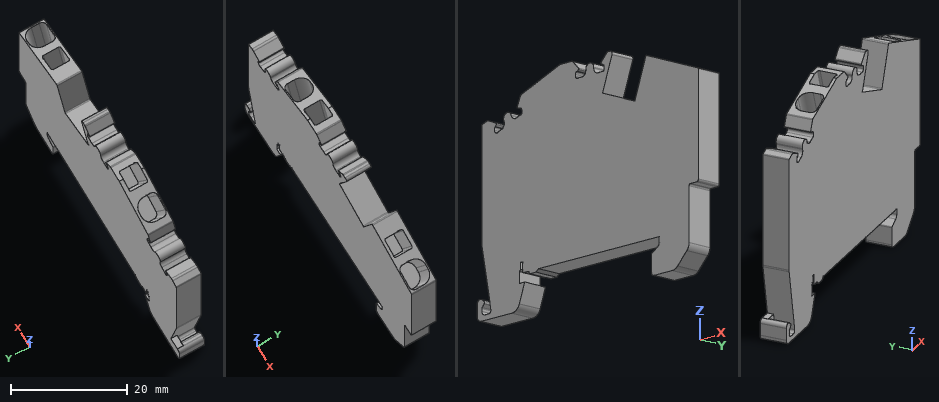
import cadquery as cq
import math

LENGTH = 55.0
THICKNESS = 5.0
HEIGHT = 42.0
BACK_Y = THICKNESS / 2

TILT = math.radians(20)
SLOPE = math.tan(TILT)

EDGE_RADIUS = 0.2
FINE_RADIUS = 0.15

BODY_LEFT = 1.1
BODY_RIGHT = 52.7
TAPER_TOP = 13.7
SHOULDER_BASE = 14.65
RAIL_LEVEL = 6.65
TAPER_BEND = 1.65
SHOULDER_INNER_RADIUS = 0.35
SHOULDER_OUTER_RADIUS = 0.45

SLOT_FLOOR = 1.0
SLOT_RIGHT = 3.5
SLOT_LEFT = 1.2
HOOK_TOP = 3.95
HOOK_LIP_X = 1.9
HOOK_LIP_Z = 3.2
HOOK_ROOT_X = 1.1
HOOK_NECK_Z = 2.3
SLOT_RIGHT_RADIUS = 0.5
SLOT_LEFT_RADIUS = 0.7
HOOK_LIP_RADIUS = 0.3
HOOK_ROOT_RADIUS = 0.9
HOOK_OUTER_RADIUS = 0.7
HEEL_RADIUS = 1.0
TOE_RADIUS = 2.0
WEB_THICKNESS = 1.2
WEB_OVERLAP = 0.35
LATCH_TIP_X = 11.8
LATCH_LEVEL = 4.95
LATCH_WALL = 10.5
RELIEF_LEFT = 10.85
RELIEF_RIGHT = 11.35
RELIEF_TOP = 8.65
RELIEF_STEP_LOW = 7.05
RELIEF_STEP_HIGH = 7.35

PAD_BASE_LEFT = 12.75
PAD_BASE_RIGHT = 15.3
PAD_LEFT = 13.15
PAD_RIGHT = 14.65
PAD_DEPTH = 0.5

FOOT_LEFT = 43.3
FOOT_TIP_Z = 4.0
FOOT_THROAT_X = 45.25
FOOT_RAMP = math.radians(30)
FOOT_BEVEL = 3.4
FOOT_BEND = 1.85
FOOT_THROAT_RADIUS = 0.8
FOOT_TIP_RADIUS = 0.65

VALLEY_LEFT = 31.2
VALLEY_LEFT_Z = 34.85
VALLEY_RIGHT = 39.15
RIGHT_CREST_Z = 39.6
RIDGE_LEFT = 10.8
CREST_X = 20.6
LEFT_WALL_TOP = 34.9
LEFT_CREST_X = 2.6
LEFT_CREST_RADIUS = 0.65
PRONG_RADIUS = 0.55

GROOVE_HALF = 3.6
GROOVE_POCKET = 1.2
BARB_ROOT = 3.15
BARB_TIP = 2.65
BARB_TIP_HEIGHT = 1.6
BARB_RADIUS = 0.15
POCKET_RADIUS = 0.45
MOUTH_RADIUS = 0.35
MOUTH_HALF = 4.35
POST_HEIGHT = 2.15
POST_RADIUS = 1.0
TOP_GROOVE_X = 28.0
TOP_GROOVE_FLOOR = 38.7
LEFT_GROOVE_X = 7.9
LEFT_GROOVE_FLOOR = 33.9

OPENING_DEPTH = 9.4
CLEARANCE = 1.1
WIRE_FRONT_Y = -2.25
WIRE_BACK_RADIUS = 2.0
WIRE_FRONT_RADIUS = 0.95
TOOL_FRONT_Y = -1.9
TOOL_BACK_Y = 1.7
TOOL_RADIUS = 0.35
LEFT_WIRE_SPAN = (12.1, 16.5)
LEFT_WIRE_BACK_Y = 2.05
LEFT_TOOL_SPAN = (18.3, 22.0)
RIGHT_TOOL_SPAN = (45.05, 48.5)
RIGHT_WIRE_SPAN = (50.1, 54.6)
RIGHT_WIRE_BACK_Y = 2.2

SHORTEST_LINE = 0.0005


def rounded_wire(corners, plane):
    """Closed outline through (x, y, radius) corners; radius 0 leaves a corner sharp."""
    arcs = []
    for i, (x, y, radius) in enumerate(corners):
        here = cq.Vector(x, y)
        before = (cq.Vector(*corners[i - 1][:2]) - here).normalized()
        after = (cq.Vector(*corners[(i + 1) % len(corners)][:2]) - here).normalized()
        half = before.getAngle(after) / 2
        setback = radius / math.tan(half)
        to_middle = radius / math.sin(half) - radius
        start = here + before * setback
        middle = here + (before + after).normalized() * to_middle
        arcs.append((start, middle, here + after * setback, radius))

    position = arcs[-1][2]
    outline = cq.Workplane(plane).moveTo(position.x, position.y)
    for start, middle, end, radius in arcs:
        if (start - position).Length > SHORTEST_LINE:
            outline = outline.lineTo(start.x, start.y)
        if radius > 0:
            outline = outline.threePointArc((middle.x, middle.y), (end.x, end.y))
        position = end
    return outline.close()


def groove(center_x, floor_z, angle):
    """Corners of a barbed groove with a central post, left to right, between the two mouth edges."""
    left_half = [
        (-BARB_TIP, BARB_TIP_HEIGHT, BARB_RADIUS),
        (-BARB_ROOT, GROOVE_POCKET, BARB_RADIUS),
        (-GROOVE_HALF, GROOVE_POCKET, POCKET_RADIUS),
        (-GROOVE_HALF, 0, POCKET_RADIUS),
        (-POST_RADIUS, 0, POST_RADIUS),
        (-POST_RADIUS, POST_HEIGHT, POST_RADIUS),
    ]
    right_half = [(-x, z, radius) for x, z, radius in reversed(left_half)]
    cos, sin = math.cos(angle), math.sin(angle)
    return [
        (center_x + x * cos - z * sin, floor_z + x * sin + z * cos, radius)
        for x, z, radius in left_half + right_half
    ]


def left_foot():
    """Corners from the body's left wall round the hook and foot to the rail face."""
    latch_base = LATCH_TIP_X - LATCH_LEVEL * SLOPE
    return [
        (BODY_LEFT, TAPER_TOP, TAPER_BEND),
        (SLOT_RIGHT, SLOT_FLOOR, SLOT_RIGHT_RADIUS),
        (SLOT_LEFT, SLOT_FLOOR, SLOT_LEFT_RADIUS),
        (SLOT_LEFT, HOOK_NECK_Z, HOOK_LIP_RADIUS),
        (HOOK_LIP_X, HOOK_LIP_Z, HOOK_LIP_RADIUS),
        (HOOK_ROOT_X, HOOK_TOP, HOOK_ROOT_RADIUS),
        (0, HOOK_TOP, HOOK_OUTER_RADIUS),
        (0, 0, HEEL_RADIUS),
        (latch_base, 0, TOE_RADIUS),
        (LATCH_TIP_X, LATCH_LEVEL, 0),
        (LATCH_WALL, LATCH_LEVEL, 0),
        (LATCH_WALL, RELIEF_STEP_LOW, 0),
        (RELIEF_LEFT, RELIEF_STEP_HIGH, 0),
        (RELIEF_LEFT, RELIEF_TOP, 0),
        (RELIEF_RIGHT, RELIEF_TOP, 0),
        (RELIEF_RIGHT, RAIL_LEVEL, EDGE_RADIUS),
    ]


def rail_pad():
    pad_level = RAIL_LEVEL - PAD_DEPTH
    return [
        (PAD_BASE_LEFT, RAIL_LEVEL, 0),
        (PAD_LEFT, pad_level, 0),
        (PAD_RIGHT, pad_level, 0),
        (PAD_BASE_RIGHT, RAIL_LEVEL, 0),
    ]


def right_foot():
    throat_z = FOOT_TIP_Z + (FOOT_THROAT_X - FOOT_LEFT) * math.tan(FOOT_RAMP)
    return [
        (FOOT_THROAT_X, RAIL_LEVEL, 0),
        (FOOT_THROAT_X, throat_z, FOOT_THROAT_RADIUS),
        (FOOT_LEFT, FOOT_TIP_Z, FINE_RADIUS),
        (FOOT_LEFT, 0, FOOT_TIP_RADIUS),
        (BODY_RIGHT - FOOT_BEVEL, 0, FOOT_BEND),
        (BODY_RIGHT, FOOT_BEVEL, FOOT_BEND),
        (BODY_RIGHT, SHOULDER_BASE, SHOULDER_INNER_RADIUS),
        (LENGTH, SHOULDER_BASE, SHOULDER_OUTER_RADIUS),
    ]


valley_right_z = VALLEY_LEFT_Z - (VALLEY_RIGHT - VALLEY_LEFT) * SLOPE
right_crest_x = VALLEY_RIGHT + (RIGHT_CREST_Z - valley_right_z) * SLOPE
right_edge_z = RIGHT_CREST_Z - (LENGTH - right_crest_x) * SLOPE
ridge_left_z = HEIGHT - (CREST_X - RIDGE_LEFT) * SLOPE


def top_right():
    """Corners from the right edge over the right crest and the valley to the prong."""
    prong_tip = VALLEY_LEFT + (HEIGHT - VALLEY_LEFT_Z) * SLOPE
    return [
        (LENGTH, right_edge_z, EDGE_RADIUS),
        (right_crest_x, RIGHT_CREST_Z, EDGE_RADIUS),
        (VALLEY_RIGHT, valley_right_z, FINE_RADIUS),
        (VALLEY_LEFT, VALLEY_LEFT_Z, 0),
        (prong_tip, HEIGHT, PRONG_RADIUS),
        (TOP_GROOVE_X + MOUTH_HALF, HEIGHT, MOUTH_RADIUS),
    ]


def top_left():
    """Corners from the top groove down the ridge and across the left groove."""
    left_crest_z = LEFT_WALL_TOP + (LEFT_CREST_X - BODY_LEFT) * SLOPE
    return [
        (TOP_GROOVE_X - MOUTH_HALF, HEIGHT, MOUTH_RADIUS),
        (CREST_X, HEIGHT, 0),
        (RIDGE_LEFT, ridge_left_z, EDGE_RADIUS),
        *reversed(groove(LEFT_GROOVE_X, LEFT_GROOVE_FLOOR, TILT)),
        (LEFT_CREST_X, left_crest_z, LEFT_CREST_RADIUS),
        (BODY_LEFT, LEFT_WALL_TOP, FINE_RADIUS),
    ]


def body():
    corners = left_foot() + rail_pad() + right_foot() + top_right()
    corners += reversed(groove(TOP_GROOVE_X, TOP_GROOVE_FLOOR, 0))
    corners += top_left()
    return rounded_wire(corners, "XZ").extrude(BACK_Y, both=True)


def hook_web():
    """Thin web that closes the hook slot at the back face."""
    taper = (SLOT_RIGHT - BODY_LEFT) / (TAPER_TOP - SLOT_FLOOR)
    wall_at_hook_top = BODY_LEFT + (TAPER_TOP - HOOK_TOP) * taper
    middle_z = HOOK_TOP / 2
    corners = [
        (HOOK_ROOT_X - WEB_OVERLAP, HOOK_TOP),
        (wall_at_hook_top, HOOK_TOP),
        (SLOT_RIGHT, SLOT_FLOOR),
        (SLOT_LEFT, SLOT_FLOOR),
        (SLOT_LEFT - WEB_OVERLAP, middle_z),
    ]
    return (
        cq.Workplane("XZ", origin=(0, BACK_Y, 0))
        .polyline(corners)
        .close()
        .extrude(WEB_THICKNESS)
    )


def sloping_face(x, z, lean):
    """Plane on a sloping top face; a positive lean falls towards +X."""
    along = (math.cos(lean), 0, -math.sin(lean))
    normal = (math.sin(lean), 0, math.cos(lean))
    return cq.Plane(origin=(x, 0, z), xDir=along, normal=normal)


def opening(face, x_span, y_span, front_radius, back_radius):
    """Rounded rectangular pocket sunk square to a face; x_span is measured level."""
    start, end = [(x - face.origin.x) / math.cos(TILT) for x in x_span]
    front, back = y_span
    corners = [
        (start, front, front_radius),
        (end, front, front_radius),
        (end, back, back_radius),
        (start, back, back_radius),
    ]
    pocket = rounded_wire(corners, face).extrude(-OPENING_DEPTH - CLEARANCE)
    return pocket.translate(face.zDir * CLEARANCE)


def wire_opening(face, x_span, back_y):
    return opening(face, x_span, (WIRE_FRONT_Y, back_y), WIRE_FRONT_RADIUS, WIRE_BACK_RADIUS)


def tool_opening(face, x_span):
    return opening(face, x_span, (TOOL_FRONT_Y, TOOL_BACK_Y), TOOL_RADIUS, TOOL_RADIUS)


left_face = sloping_face(RIDGE_LEFT, ridge_left_z, -TILT)
right_face = sloping_face(right_crest_x, RIGHT_CREST_Z, TILT)

result = body().union(hook_web())
result = result.cut(wire_opening(left_face, LEFT_WIRE_SPAN, LEFT_WIRE_BACK_Y))
result = result.cut(tool_opening(left_face, LEFT_TOOL_SPAN))
result = result.cut(tool_opening(right_face, RIGHT_TOOL_SPAN))
result = result.cut(wire_opening(right_face, RIGHT_WIRE_SPAN, RIGHT_WIRE_BACK_Y))